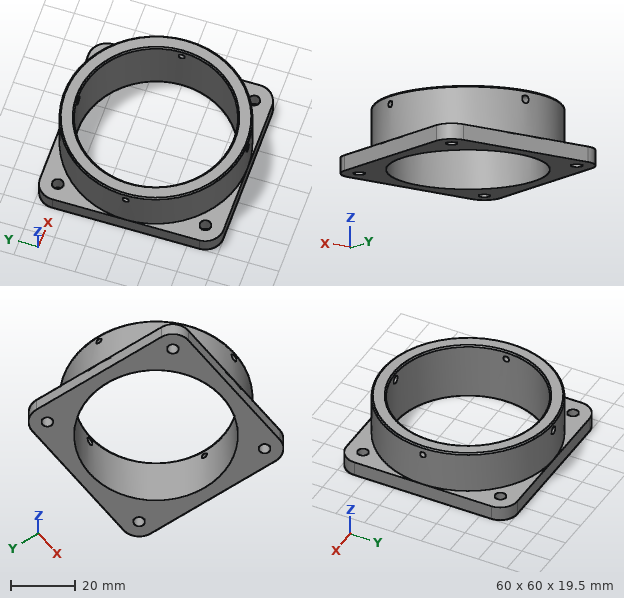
import cadquery as cq

flange_side = 60.0
flange_thickness = 5.0
corner_radius = 6.0
mount_hole_diameter = 3.6
mount_hole_spacing = 48.25

collar_diameter = flange_side
total_height = 19.5
bore_diameter = 50.8
rim_chamfer = 0.5

radial_hole_depth_below_rim = 3.0
radial_hole_diameter_along_x = 2.0
radial_hole_diameter_along_y = 2.5


def make_flange():
    flange = cq.Workplane("XY").rect(flange_side, flange_side).extrude(flange_thickness)
    return flange.edges("|Z").fillet(corner_radius)


def make_collar():
    collar = cq.Workplane("XY").circle(collar_diameter / 2).extrude(total_height)
    collar = collar.cut(make_bore())
    return collar.faces(">Z").edges().chamfer(rim_chamfer)


def make_bore():
    return cq.Workplane("XY").circle(bore_diameter / 2).extrude(total_height)


def make_mount_holes():
    return (
        cq.Workplane("XY")
        .rect(mount_hole_spacing, mount_hole_spacing, forConstruction=True)
        .vertices()
        .circle(mount_hole_diameter / 2)
        .extrude(flange_thickness)
    )


def make_radial_hole(plane, diameter):
    """Cylinder crossing the whole collar, normal to the given plane."""
    hole_height = total_height - radial_hole_depth_below_rim
    return (
        cq.Workplane(plane, origin=(0, 0, hole_height))
        .circle(diameter / 2)
        .extrude(collar_diameter, both=True)
    )


result = (
    make_flange()
    .cut(make_bore())
    .union(make_collar())
    .cut(make_mount_holes())
    .cut(make_radial_hole("YZ", radial_hole_diameter_along_x))
    .cut(make_radial_hole("XZ", radial_hole_diameter_along_y))
)